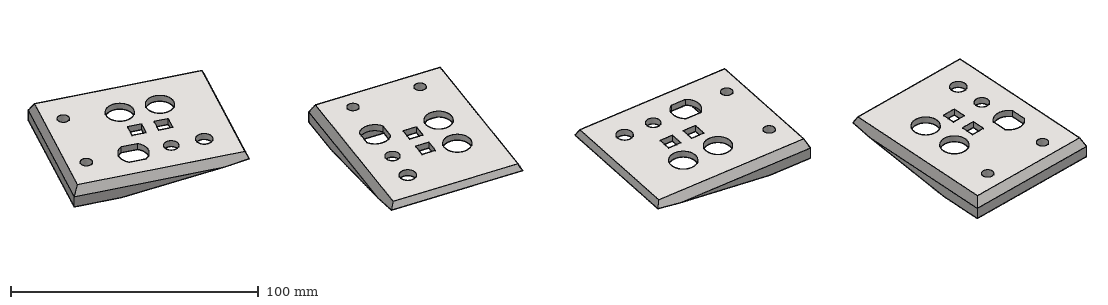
import cadquery as cq
import math

width = 60.2
full_length = 75.0
height = 9.5

base_height = 5.2
bevel_height = height - base_height
bevel_angle = 25.0
bevel_inset = bevel_height * math.tan(math.radians(bevel_angle))

pad_length = 20.0
slope_angle = 6.73

plate_thickness = 3.1
wall_thickness = 3.0

right_column_x = width - 15.0
left_screw_x = 15.0
screw_y = 10.0
screw_diameter = 5.0
large_x = 18.0
large_ys = (33.0, 50.0)
large_diameter = 11.8
square_x = 31.0
square_ys = (36.0, 47.3)
square_side = 6.0
jack_y = 60.0
jack_diameter = 7.0
switch_y = 46.0
switch_diameter = 6.2
flatted_y = 30.0
flatted_diameter = 12.7
flatted_width = 10.6


def beveled_block():
    """Rectangular base topped by a frustum with evenly sloping sides."""
    base = cq.Workplane("XY").box(width, full_length, base_height, centered=False)
    return base.faces(">Z").wires().toPending().workplane().extrude(bevel_height, taper=bevel_angle)


def wedge_below_slope():
    """Material removed under the slope, from the pad to past the back."""
    run = full_length - pad_length
    rise = run * math.tan(math.radians(slope_angle))
    profile = [(pad_length, 0), (full_length, 0), (full_length, rise)]
    return cq.Workplane("YZ").polyline(profile).close().extrude(width)


def underside_pocket():
    """Pocket open at the bottom, walled on both sides and at the back."""
    pocket_width = width - 2 * wall_thickness
    pocket_length = full_length - bevel_inset - wall_thickness - pad_length
    pocket_depth = height - plate_thickness
    pocket = cq.Workplane("XY").box(pocket_width, pocket_length, pocket_depth, centered=False)
    return pocket.translate((wall_thickness, pad_length, 0))


def round_cutter(x, y, diameter):
    return cq.Workplane("XY").center(x, y).circle(diameter / 2).extrude(height)


def square_cutter(x, y, side):
    return cq.Workplane("XY").center(x, y).rect(side, side).extrude(height)


def flatted_cutter(x, y):
    """Round opening with two flats facing left and right."""
    flats = cq.Workplane("XY").center(x, y).rect(flatted_width, flatted_diameter).extrude(height)
    return round_cutter(x, y, flatted_diameter).intersect(flats)


result = beveled_block().cut(wedge_below_slope()).cut(underside_pocket())

for screw_x in (left_screw_x, right_column_x):
    result = result.cut(round_cutter(screw_x, screw_y, screw_diameter))

for large_y in large_ys:
    result = result.cut(round_cutter(large_x, large_y, large_diameter))

for square_y in square_ys:
    result = result.cut(square_cutter(square_x, square_y, square_side))

result = result.cut(round_cutter(right_column_x, jack_y, jack_diameter))
result = result.cut(round_cutter(right_column_x, switch_y, switch_diameter))
result = result.cut(flatted_cutter(right_column_x, flatted_y))